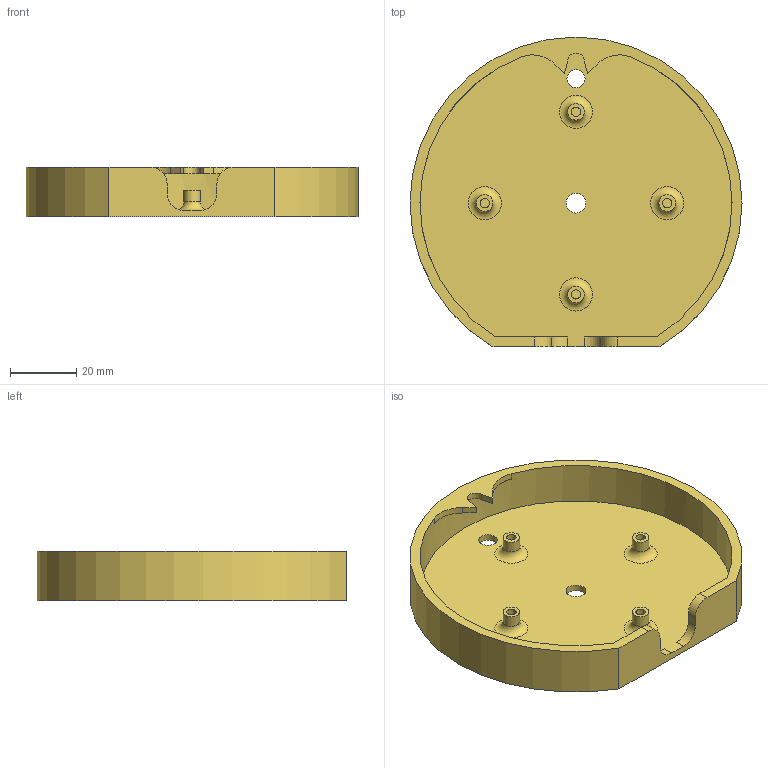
import cadquery as cq
import math

OUTER_RADIUS = 50.0
HEIGHT = 15.0
WALL = 3.0
FLOOR = 2.0
FLAT_WIDTH = OUTER_RADIUS

INNER_RADIUS = OUTER_RADIUS - WALL
FLAT_Y = -math.sqrt(OUTER_RADIUS**2 - (FLAT_WIDTH / 2)**2)
INNER_FLAT_Y = FLAT_Y + WALL

CENTRE_HOLE_DIAMETER = 6.0
REAR_HOLE_DIAMETER = 5.5
REAR_HOLE_Y = 37.5

POST_DIAMETER = 5.0
POST_BORE_DIAMETER = 2.8
POST_TOP = 8.0
POST_FOOT_RADIUS = 2.5
POST_CIRCLE_RADIUS = 27.5
POST_COUNT = 4

NOTCH_WIDTH = 15.0
NOTCH_RADIUS = 5.0

TAB_THICKNESS = 2.0
TAB_TIP_X = 3.5
TAB_TIP_Y = 39.0
TAB_BLEND_RADIUS = 9.5
TAB_SLOT_END_RADIUS = 2.5
TAB_SLOT_END_Y = 42.7
TAB_EMBED = WALL / 2


def flat_sided_disc(radius, flat_y, bottom, top):
    """Disc between two heights, cut off straight below flat_y."""
    half_chord = math.sqrt(radius**2 - flat_y**2)
    return (
        cq.Workplane("XY", origin=(0, 0, bottom))
        .moveTo(-half_chord, flat_y)
        .threePointArc((0, radius), (half_chord, flat_y))
        .close()
        .extrude(top - bottom)
    )


def tray():
    body = flat_sided_disc(OUTER_RADIUS, FLAT_Y, 0, HEIGHT)
    return body.cut(flat_sided_disc(INNER_RADIUS, INNER_FLAT_Y, FLOOR, HEIGHT))


def floor_hole(y, diameter):
    return cq.Workplane("XY").center(0, y).circle(diameter / 2).extrude(FLOOR)


def notch():
    half = NOTCH_WIDTH / 2
    r = NOTCH_RADIUS
    mid = r * math.sqrt(0.5)
    rim_centre_x = half + r
    rim_centre_z = HEIGHT - r
    foot_centre_x = half - r
    foot_centre_z = FLOOR + r
    return (
        cq.Workplane("XZ", origin=(0, INNER_FLAT_Y, 0))
        .moveTo(-rim_centre_x, HEIGHT)
        .threePointArc((-rim_centre_x + mid, rim_centre_z + mid), (-half, rim_centre_z))
        .lineTo(-half, foot_centre_z)
        .threePointArc((-foot_centre_x - mid, foot_centre_z - mid), (-foot_centre_x, FLOOR))
        .lineTo(foot_centre_x, FLOOR)
        .threePointArc((foot_centre_x + mid, foot_centre_z - mid), (half, foot_centre_z))
        .lineTo(half, rim_centre_z)
        .threePointArc((rim_centre_x - mid, rim_centre_z + mid), (rim_centre_x, HEIGHT))
        .close()
        .extrude(WALL)
    )


def tab():
    r = TAB_BLEND_RADIUS
    rise = TAB_TIP_Y - TAB_TIP_X - r * math.sqrt(2)
    reach = INNER_RADIUS - r
    centre_x = (math.sqrt(2 * reach**2 - rise**2) - rise) / 2
    centre_y = centre_x + rise
    wall_angle = math.atan2(centre_y, centre_x)
    flank_angle = math.radians(135)
    mid_angle = (wall_angle + flank_angle) / 2

    def blend_point(angle):
        return (centre_x + r * math.cos(angle), centre_y + r * math.sin(angle))

    slot_end = (TAB_SLOT_END_RADIUS, TAB_SLOT_END_Y)
    slot_top = (0, TAB_SLOT_END_Y + TAB_SLOT_END_RADIUS)

    embed_radius = INNER_RADIUS + TAB_EMBED
    embed_x = embed_radius * math.cos(wall_angle)
    embed_y = embed_radius * math.sin(wall_angle)

    def mirrored(point):
        return (-point[0], point[1])

    flank_end = blend_point(flank_angle)
    blend_mid = blend_point(mid_angle)
    wall_end = blend_point(wall_angle)
    return (
        cq.Workplane("XY", origin=(0, 0, HEIGHT - TAB_THICKNESS))
        .moveTo(*mirrored(slot_end))
        .threePointArc(slot_top, slot_end)
        .lineTo(TAB_TIP_X, TAB_TIP_Y)
        .lineTo(*flank_end)
        .threePointArc(blend_mid, wall_end)
        .lineTo(embed_x, embed_y)
        .threePointArc((0, embed_radius), (-embed_x, embed_y))
        .lineTo(*mirrored(wall_end))
        .threePointArc(mirrored(blend_mid), mirrored(flank_end))
        .lineTo(-TAB_TIP_X, TAB_TIP_Y)
        .close()
        .extrude(TAB_THICKNESS)
    )


def post(x, y):
    """Hollow post, revolved from its half section; its foot flares out in a quarter arc."""
    radius = POST_DIAMETER / 2
    bore = POST_BORE_DIAMETER / 2
    foot_top = FLOOR + POST_FOOT_RADIUS
    foot_edge = radius + POST_FOOT_RADIUS
    mid = POST_FOOT_RADIUS * math.sqrt(0.5)
    profile = (
        cq.Workplane("XZ")
        .moveTo(bore, FLOOR)
        .lineTo(bore, POST_TOP)
        .lineTo(radius, POST_TOP)
        .lineTo(radius, foot_top)
        .threePointArc((foot_edge - mid, foot_top - mid), (foot_edge, FLOOR))
        .close()
    )
    return profile.revolve(360, (0, 0, 0), (0, 1, 0)).translate((x, y, 0))


result = tray().union(tab())
result = result.cut(notch())
result = result.cut(floor_hole(0, CENTRE_HOLE_DIAMETER))
result = result.cut(floor_hole(REAR_HOLE_Y, REAR_HOLE_DIAMETER))
for index in range(POST_COUNT):
    post_angle = 2 * math.pi * index / POST_COUNT
    post_x = POST_CIRCLE_RADIUS * math.cos(post_angle)
    post_y = POST_CIRCLE_RADIUS * math.sin(post_angle)
    result = result.union(post(post_x, post_y))